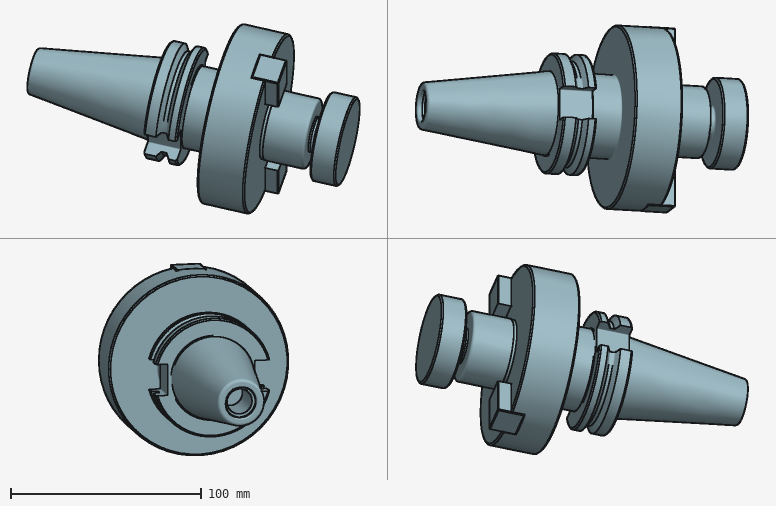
import cadquery as cq
import math


overall_length = 172.2

shank_length = 69.2
taper_length = 68.2
taper_small_d = 24.8
taper_large_d = 44.5
taper_end_round = 1.7

mouth_round = 1.0
counterbore_d = 16.4
relief_d = 16.9
relief_start = 2.8
relief_end = 4.1
bore_d = 13.5
bore_depth = 27.5

flange_d = 63.5
flange_width = 18.1
flange_start = shank_length
flange_end = flange_start + flange_width
groove_centre = flange_start + 10.2
groove_depth = 3.6
groove_width = 6.9
groove_wall_slope = math.radians(60)
groove_root_round = 0.5

flange_slot_width = 16.7
flange_slot_floor_round = 0.5
deep_slot_floor = 22.5
shallow_slot_floor = 24.5

root_round = 0.5

neck_d = 44.5
disc_d = 97.0
disc_width = 25.8
disc_start = 103.5
disc_end = disc_start + disc_width

edge_chamfer = 0.9

pilot_d = 38.0
pilot_end = 153.3
pilot_edge_round = 1.5
undercut_d = 37.5
undercut_width = 1.7

key_width = 16.2
key_length = 14.8
key_start = 121.8
key_chamfer = 0.5
key_outer = 48.0
key_inner = 27.5
key_angles = (0, 180)

thread_d = 19.1
thread_start = disc_end
thread_end = 154.3
thread_cone_end_d = 18.1
thread_cone_length = 0.9
screw_neck_start = 155.7
screw_neck_d = 17.4
screw_neck_fillet = 1.0
head_d = 48.0
head_width = 14.0
head_start = overall_length - head_width


def cylinder(diameter, start, end):
    """Cylinder on the X axis between two X positions."""
    return cq.Workplane("YZ", origin=(start, 0, 0)).circle(diameter / 2).extrude(end - start)


def revolve_about_x(outline):
    """Revolve a closed (X, radius) outline about the X axis."""
    return outline.close().revolve(360, (0, 0, 0), (1, 0, 0))


def make_root_fillet(diameter, face, direction):
    """Fillet ring between a shaft and the face reached by going along X in the given direction."""
    start = face - direction * root_round
    root_r = diameter / 2
    return revolve_about_x(
        cq.Workplane("XY")
        .moveTo(start, 0)
        .lineTo(start, root_r)
        .radiusArc((face, root_r + root_round), -direction * root_round)
        .lineTo(face, 0)
    )


def make_shank():
    taper = revolve_about_x(
        cq.Workplane("XY")
        .lineTo(0, taper_small_d / 2)
        .lineTo(taper_length, taper_large_d / 2)
        .lineTo(taper_length, 0)
    )
    taper = taper.faces("<X").edges().fillet(taper_end_round)
    shank = taper.union(cylinder(taper_large_d, taper_length, shank_length))
    return shank.union(make_root_fillet(taper_large_d, shank_length, 1))


def make_drawbar_bore():
    return revolve_about_x(
        cq.Workplane("XY")
        .lineTo(0, counterbore_d / 2 + mouth_round)
        .radiusArc((mouth_round, counterbore_d / 2), -mouth_round)
        .lineTo(relief_start, counterbore_d / 2)
        .lineTo(relief_start, relief_d / 2)
        .lineTo(relief_end, relief_d / 2)
        .lineTo(relief_end, bore_d / 2)
        .lineTo(bore_depth, bore_d / 2)
        .lineTo(bore_depth, 0)
    )


def make_gripper_groove():
    root_r = flange_d / 2 - groove_depth
    half_top = groove_width / 2
    half_root = half_top - groove_depth / math.tan(groove_wall_slope)
    clearance = 1.7
    ring = revolve_about_x(
        cq.Workplane("XY")
        .moveTo(groove_centre - half_root, root_r)
        .lineTo(groove_centre - half_top, flange_d / 2)
        .lineTo(groove_centre - half_top, flange_d / 2 + clearance)
        .lineTo(groove_centre + half_top, flange_d / 2 + clearance)
        .lineTo(groove_centre + half_top, flange_d / 2)
        .lineTo(groove_centre + half_root, root_r)
    )
    root_edges = ring.edges("%CIRCLE").filter(lambda edge: math.isclose(edge.radius(), root_r))
    return root_edges.fillet(groove_root_round)


def make_flange_slot(side, floor):
    """Slot open to the side where Y has the given sign."""
    depth = flange_d / 2 - floor
    slot = cq.Workplane("XY").box(flange_width, depth, flange_slot_width)
    floor_face = "<Y" if side > 0 else ">Y"
    slot = slot.faces(floor_face).edges("|X").fillet(flange_slot_floor_round)
    return slot.translate((flange_start + flange_width / 2, side * (floor + depth / 2), 0))


def make_flange():
    flange = cylinder(flange_d, flange_start, flange_end).edges("%CIRCLE").chamfer(edge_chamfer)
    flange = flange.cut(make_gripper_groove())
    flange = flange.cut(make_flange_slot(-1, deep_slot_floor))
    return flange.cut(make_flange_slot(1, shallow_slot_floor))


def make_neck():
    neck = cylinder(neck_d, flange_end, disc_start)
    neck = neck.union(make_root_fillet(neck_d, flange_end, -1))
    return neck.union(make_root_fillet(neck_d, disc_start, 1))


def make_disc():
    return cylinder(disc_d, disc_start, disc_end).edges("%CIRCLE").chamfer(edge_chamfer)


def make_pilot():
    undercut = cylinder(undercut_d, disc_end, disc_end + undercut_width)
    pilot = cylinder(pilot_d, disc_end + undercut_width, pilot_end)
    return undercut.union(pilot.faces(">X").edges().fillet(pilot_edge_round))


def key_block(outer):
    """Block at the upper key position, reaching up to the given Z."""
    height = outer - key_inner
    return cq.Workplane("XY").box(key_length, key_width, height).translate(
        (key_start + key_length / 2, 0, key_inner + height / 2)
    )


def make_holder():
    holder = make_shank()
    for section in (make_flange(), make_neck(), make_disc(), make_pilot()):
        holder = holder.union(section)
    holder = holder.cut(make_drawbar_bore())
    holder = holder.cut(cylinder(thread_d, thread_start, pilot_end))
    keyway = key_block(disc_d / 2)
    for angle in key_angles:
        holder = holder.cut(keyway.rotate((0, 0, 0), (1, 0, 0), angle))
    return holder


def make_drive_key(angle):
    key = key_block(key_outer)
    outer_edges = key.faces(">Z").edges()
    end_corners = key.faces(">X").edges("|Z")
    key = outer_edges.add(end_corners).chamfer(key_chamfer)
    return key.rotate((0, 0, 0), (1, 0, 0), angle)


def make_locking_screw():
    cone_end = thread_end + thread_cone_length
    neck_r = screw_neck_d / 2
    stem = revolve_about_x(
        cq.Workplane("XY")
        .moveTo(thread_start, 0)
        .lineTo(thread_start, thread_d / 2)
        .lineTo(thread_end, thread_d / 2)
        .lineTo(cone_end, thread_cone_end_d / 2)
        .lineTo(screw_neck_start, neck_r)
        .lineTo(head_start - screw_neck_fillet, neck_r)
        .radiusArc((head_start, neck_r + screw_neck_fillet), -screw_neck_fillet)
        .lineTo(head_start, 0)
    )
    head = cylinder(head_d, head_start, overall_length).edges("%CIRCLE").chamfer(edge_chamfer)
    return stem.union(head)


holder = make_holder()
drive_keys = [make_drive_key(angle) for angle in key_angles]
locking_screw = make_locking_screw()

result = cq.Compound.makeCompound(
    [holder.val(), *[key.val() for key in drive_keys], locking_screw.val()]
)